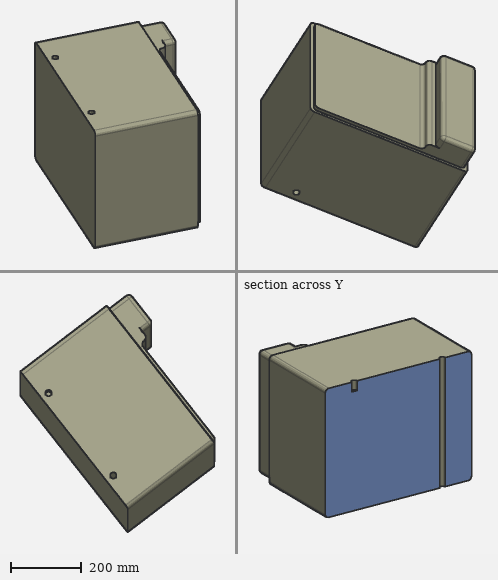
import cadquery as cq

BODY_WIDTH = 500.0
BODY_DEPTH = 310.0
BODY_HEIGHT = 400.0
EDGE_RADIUS = 12.5

PANEL_INSET = 10.0
PANEL_THICKNESS = 10.0
PANEL_WIDTH = BODY_WIDTH - 2 * PANEL_INSET
PANEL_HEIGHT = BODY_HEIGHT - 2 * PANEL_INSET

COLUMN_WIDTH = 110.0
COLUMN_RISE = 75.0
SHOULDER_WIDTH = 25.0
SHOULDER_RISE = PANEL_THICKNESS + 2 * EDGE_RADIUS

HOLE_DIAMETER = 18.0
HOLE_SPACING = 300.0
HOLE_FRONT_OFFSET = 25.0
BLIND_HOLE_DEPTH = 30.0

PANEL_LEFT = -PANEL_WIDTH / 2
BODY_TOP = BODY_HEIGHT / 2


def rounded_block(x_min, width, y_min, depth, height, rounded_edges="|Y"):
    """Block centred on Z with the selected edges rounded, by default the four along Y."""
    block = cq.Workplane("XY").box(width, depth, height, centered=(False, False, True))
    return block.edges(rounded_edges).fillet(EDGE_RADIUS).translate((x_min, y_min, 0))


def make_shoulder():
    """Ledge beside the column that runs down to the panel in an S-curve."""
    start_x = PANEL_LEFT + COLUMN_WIDTH - EDGE_RADIUS
    edge_x = PANEL_LEFT + COLUMN_WIDTH + SHOULDER_WIDTH
    panel_y = BODY_DEPTH + PANEL_THICKNESS
    shoulder_y = BODY_DEPTH + SHOULDER_RISE
    middle_y = panel_y + EDGE_RADIUS
    return (
        cq.Workplane("XY")
        .moveTo(start_x, BODY_DEPTH)
        .lineTo(start_x, shoulder_y)
        .lineTo(edge_x - EDGE_RADIUS, shoulder_y)
        .radiusArc((edge_x, middle_y), EDGE_RADIUS)
        .radiusArc((edge_x + EDGE_RADIUS, panel_y), -EDGE_RADIUS)
        .lineTo(edge_x + EDGE_RADIUS, BODY_DEPTH)
        .close()
        .extrude(PANEL_HEIGHT / 2, both=True)
    )


def make_column():
    """Tall column with its edges along Y and its rear rim rounded."""
    return rounded_block(
        PANEL_LEFT, COLUMN_WIDTH, BODY_DEPTH, COLUMN_RISE, PANEL_HEIGHT, rounded_edges="|Y or >Y"
    )


def make_hole(x, depth):
    """Cutter for a vertical hole drilled down from the top face."""
    return (
        cq.Workplane("XY", origin=(x, HOLE_FRONT_OFFSET, BODY_TOP))
        .circle(HOLE_DIAMETER / 2)
        .extrude(-depth)
    )


body = rounded_block(-BODY_WIDTH / 2, BODY_WIDTH, 0, BODY_DEPTH, BODY_HEIGHT)
panel = rounded_block(PANEL_LEFT, PANEL_WIDTH, BODY_DEPTH, PANEL_THICKNESS, PANEL_HEIGHT)

result = body.union(panel).union(make_shoulder()).union(make_column())

result = result.cut(make_hole(-HOLE_SPACING / 2, BLIND_HOLE_DEPTH))
result = result.cut(make_hole(HOLE_SPACING / 2, BODY_HEIGHT))